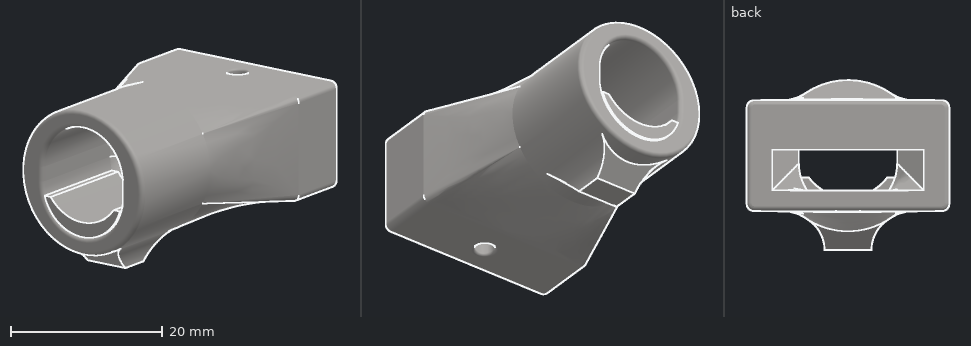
import cadquery as cq
import math

total_length = 38.85
barrel_length = 15.0
transition_length = 15.0
box_start = barrel_length + transition_length
box_length = total_length - box_start

barrel_diameter = 20.0
barrel_radius = barrel_diameter / 2
box_width = 26.85
box_height = 14.7
box_corner_radius = 1.0
end_fillet = 0.65
corner_blend_angle = 0.4

bore_radius = 6.5
bore_center_offset = 1.0

mouth_width = 20.0
mouth_top = 0.78
mouth_bottom = -4.6

cross_hole_diameter = 2.7
cross_hole_fillet = 0.43

foot_width = 6.2
overall_height = 22.5
foot_bottom = barrel_radius - overall_height
foot_bottom_length = 4.0
foot_center = barrel_length / 2

liner_top = -2.87
liner_setback = 0.1


def section_plane(y):
    """Plane across the part at y: local x is X, local y is Z, normal is -Y."""
    return cq.Plane(origin=(0, y, 0), xDir=(1, 0, 0), normal=(0, -1, 0))


def on_circle(center, radius, angle):
    return (center[0] + radius * math.cos(angle), center[1] + radius * math.sin(angle))


def arc_chain(y, arcs):
    """Closed wire of (center, radius, start, end) arcs, joined by lines where their ends differ."""
    outline = cq.Workplane(section_plane(y)).moveTo(*on_circle(*arcs[0][:3]))
    for index, (center, radius, start, end) in enumerate(arcs):
        if index > 0:
            outline = outline.lineTo(*on_circle(center, radius, start))
        middle = on_circle(center, radius, (start + end) / 2)
        outline = outline.threePointArc(middle, on_circle(center, radius, end))
    return outline.close().val()


def box_outline(y):
    corner_x = box_width / 2 - box_corner_radius
    corner_z = box_height / 2 - box_corner_radius
    quarter = math.pi / 2
    arcs = []
    for turn, (side_x, side_z) in enumerate([(1, 1), (-1, 1), (-1, -1), (1, -1)]):
        center = (side_x * corner_x, side_z * corner_z)
        arcs.append((center, box_corner_radius, turn * quarter, (turn + 1) * quarter))
    return arc_chain(y, arcs)


def barrel_outline(y):
    """Barrel circle split into eight arcs that pair with the sides and corners of the box."""
    corner_angle = math.atan2(box_height, box_width)
    half_blend = math.radians(corner_blend_angle) / 2
    corners = [corner_angle, math.pi - corner_angle, math.pi + corner_angle, 2 * math.pi - corner_angle]
    next_corners = corners[1:] + [corners[0] + 2 * math.pi]
    outline = cq.Workplane(section_plane(y)).moveTo(*on_circle((0, 0), barrel_radius, corners[0] - half_blend))
    for corner, next_corner in zip(corners, next_corners):
        blend_end = on_circle((0, 0), barrel_radius, corner + half_blend)
        side_middle = on_circle((0, 0), barrel_radius, (corner + next_corner) / 2)
        side_end = on_circle((0, 0), barrel_radius, next_corner - half_blend)
        outline = outline.threePointArc(on_circle((0, 0), barrel_radius, corner), blend_end)
        outline = outline.threePointArc(side_middle, side_end)
    return outline.wire().val()


def bore_outline(y):
    upper = ((0, bore_center_offset), bore_radius, 0, math.pi)
    lower = ((0, -bore_center_offset), bore_radius, math.pi, 2 * math.pi)
    return arc_chain(y, [upper, lower])


def mouth_outline(y):
    half_width = mouth_width / 2
    corners = [(half_width, mouth_top), (-half_width, mouth_top),
               (-half_width, mouth_bottom), (half_width, mouth_bottom)]
    return cq.Workplane(section_plane(y)).polyline(corners).close().val()


def extrude_outline(outline, length):
    return cq.Workplane(cq.Solid.extrudeLinear(outline, [], cq.Vector(0, length, 0)))


def ruled_loft(first, last):
    return cq.Workplane(cq.Solid.makeLoft([first, last], True))


def make_foot():
    """Foot with concave flanks tangent to the barrel and 45 degree front and back ends."""
    half_width = foot_width / 2
    flank_radius = ((half_width**2 + foot_bottom**2 - barrel_radius**2)
                    / (2 * (barrel_radius - half_width)))
    flank_center = (half_width + flank_radius, foot_bottom)
    tangent_angle = math.atan2(-flank_center[1], -flank_center[0]) % (2 * math.pi)
    tangent_x, tangent_z = on_circle(flank_center, flank_radius, tangent_angle)
    middle_x, middle_z = on_circle(flank_center, flank_radius, (tangent_angle + math.pi) / 2)
    profile = (
        cq.Workplane(section_plane(barrel_length))
        .moveTo(-half_width, foot_bottom)
        .lineTo(half_width, foot_bottom)
        .threePointArc((middle_x, middle_z), (tangent_x, tangent_z))
        .lineTo(-tangent_x, tangent_z)
        .threePointArc((-middle_x, middle_z), (-half_width, foot_bottom))
        .close()
        .extrude(barrel_length)
    )
    half_bottom = foot_bottom_length / 2
    half_top = half_bottom + tangent_z - foot_bottom
    side_trim = (
        cq.Workplane("YZ")
        .polyline([(foot_center - half_bottom, foot_bottom), (foot_center + half_bottom, foot_bottom),
                   (foot_center + half_top, tangent_z), (foot_center - half_top, tangent_z)])
        .close()
        .extrude(barrel_radius, both=True)
    )
    return profile.intersect(side_trim)


def make_outer_shell():
    barrel = cq.Workplane(section_plane(barrel_length)).circle(barrel_radius).extrude(barrel_length)
    barrel = barrel.faces("<Y").edges().fillet(end_fillet)
    transition = ruled_loft(barrel_outline(barrel_length), box_outline(box_start))
    box = extrude_outline(box_outline(box_start), box_length).faces(">Y").edges().fillet(end_fillet)
    return barrel.union(transition).union(box).union(make_foot())


def make_passage():
    bore = extrude_outline(bore_outline(0), barrel_length)
    taper = ruled_loft(bore_outline(barrel_length), mouth_outline(box_start))
    mouth = extrude_outline(mouth_outline(box_start), box_length)
    return bore.union(taper).union(mouth)


def cut_cross_hole(body):
    hole_y = box_start + box_length / 2
    hole = cq.Workplane("XY").center(0, hole_y).circle(cross_hole_diameter / 2).extrude(box_height, both=True)
    rim_reach = cross_hole_diameter / 2 + cross_hole_fillet
    body = body.cut(hole)
    for rim_z in (-box_height / 2, box_height / 2):
        rim = cq.selectors.BoxSelector(
            (-rim_reach, hole_y - rim_reach, rim_z - cross_hole_fillet),
            (rim_reach, hole_y + rim_reach, rim_z + cross_hole_fillet),
            boundingbox=True,
        )
        body = body.edges(rim).fillet(cross_hole_fillet)
    return body


def make_housing():
    body = make_outer_shell().cut(make_passage())
    rim_reach = barrel_radius - 2 * end_fillet
    bore_rim = cq.selectors.BoxSelector(
        (-rim_reach, -end_fillet, -rim_reach), (rim_reach, end_fillet, rim_reach), boundingbox=True
    )
    body = body.edges(bore_rim).fillet(end_fillet)
    return cut_cross_hole(body)


def make_liner():
    """Crescent that fills the bottom of the bore, from just inside the open end to the taper."""
    liner_length = barrel_length - liner_setback
    filling = extrude_outline(bore_outline(liner_setback), liner_length)
    channel = (
        cq.Workplane(section_plane(barrel_length))
        .center(0, bore_center_offset)
        .circle(bore_radius)
        .extrude(barrel_length)
    )
    above = (
        cq.Workplane("XY", origin=(0, 0, liner_top))
        .rect(barrel_diameter, 2 * total_length)
        .extrude(barrel_diameter)
    )
    return filling.cut(channel).cut(above)


housing = make_housing()
liner = make_liner()
result = cq.Compound.makeCompound([housing.val(), liner.val()])